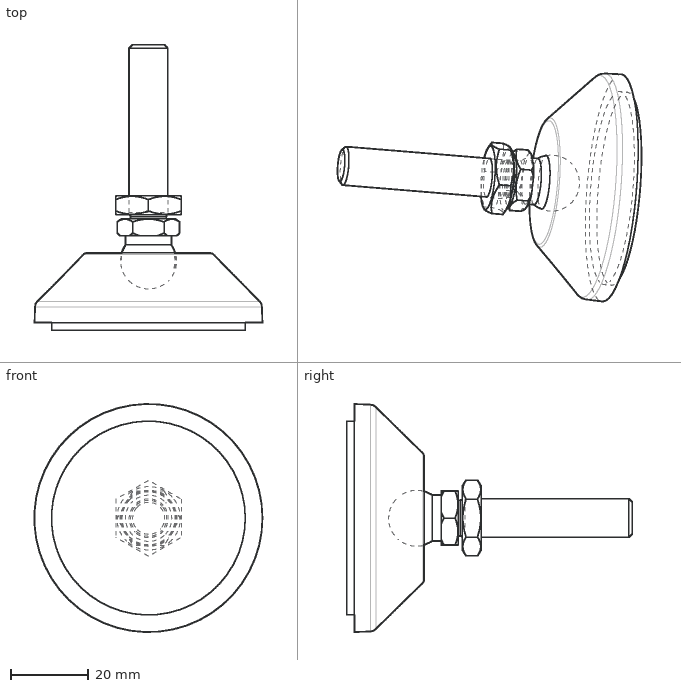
import cadquery as cq
import math


PAD_RADIUS = 25.05
PAD_HEIGHT = 2.0
RIM_RADIUS = 29.515
RIM_DRAFT = 0.185
CONE_START_Y = 6.95
FOOT_HEIGHT = 20.0
CONE_TOP_RADIUS = 16.5
RIM_FILLET = 2.0
TOP_FILLET = 1.0

OVERALL_LENGTH = 73.9
BALL_RADIUS = 7.25
NECK_RADIUS = 6.0
NECK_START_Y = 22.1
BALL_CENTER_Y = NECK_START_Y - math.sqrt(BALL_RADIUS**2 - NECK_RADIUS**2)
STUD_HEX_START_Y = 24.45
STUD_HEX_HEIGHT = 4.4
STUD_HEX_END_Y = STUD_HEX_START_Y + STUD_HEX_HEIGHT
STUD_HEX_FLATS = 14.05
STUD_HEX_LOWER_CHAMFER = 0.75
STUD_HEX_UPPER_CHAMFER_WIDTH = 1.25
STUD_HEX_UPPER_CHAMFER_HEIGHT = 0.8
UNDERCUT_RADIUS = 4.65
UNDERCUT_LENGTH = 0.5
ROD_RADIUS = 5.0
ROD_TAPER_LENGTH = 1.1
ROD_END_CHAMFER = 0.9

NUT_FLATS = 17.0
NUT_HEIGHT = 5.0
NUT_GAP = 0.95
NUT_START_Y = STUD_HEX_END_Y + NUT_GAP
NUT_FACE_RADIUS = 8.2
NUT_CHAMFER_HEIGHT = 1.0


def corner_radius(flats):
    """Distance from the center of a hexagon to its corners."""
    return flats / math.sqrt(3)


def turned(points):
    """Revolve a closed outline of (radius, Y) points around the Y axis."""
    return cq.Workplane("XY").polyline(points).close().revolve(360, (0, 0, 0), (0, 1, 0))


def chamfered_hexagon(flats, start_y, height, corner_angle, lower_chamfer, upper_chamfer):
    """Hexagonal prism along Y with turned corners; each chamfer is (radial, axial)."""
    radius = corner_radius(flats)
    prism = (
        cq.Workplane("XZ", origin=(0, start_y, 0))
        .transformed(rotate=(0, 0, corner_angle))
        .polygon(6, 2 * radius)
        .extrude(-height)
    )
    end_y = start_y + height
    envelope = turned([
        (0, start_y),
        (radius - lower_chamfer[0], start_y),
        (radius, start_y + lower_chamfer[1]),
        (radius, end_y - upper_chamfer[1]),
        (radius - upper_chamfer[0], end_y),
        (0, end_y),
    ])
    return prism.intersect(envelope)


def make_ball():
    return cq.Workplane("XY").sphere(BALL_RADIUS).translate((0, BALL_CENTER_Y, 0))


def make_foot():
    """Conical foot with a raised pad underneath and a socket for the ball."""
    cone = turned([
        (0, PAD_HEIGHT),
        (RIM_RADIUS, PAD_HEIGHT),
        (RIM_RADIUS - RIM_DRAFT, CONE_START_Y),
        (CONE_TOP_RADIUS, FOOT_HEIGHT),
        (0, FOOT_HEIGHT),
    ])
    top_edge = cq.selectors.RadiusNthSelector(0)
    cone_foot_edge = cq.selectors.RadiusNthSelector(1)
    cone = cone.edges(cone_foot_edge).fillet(RIM_FILLET)
    cone = cone.edges(top_edge).fillet(TOP_FILLET)
    pad = cq.Workplane("XZ").circle(PAD_RADIUS).extrude(-PAD_HEIGHT)
    return cone.union(pad).cut(make_ball())


def make_stud():
    """Ball, neck, wrench hexagon and rod in one piece."""
    undercut_end_y = STUD_HEX_END_Y + UNDERCUT_LENGTH
    shank = turned([
        (0, BALL_CENTER_Y),
        (NECK_RADIUS, BALL_CENTER_Y),
        (NECK_RADIUS, STUD_HEX_START_Y),
        (UNDERCUT_RADIUS, STUD_HEX_START_Y),
        (UNDERCUT_RADIUS, undercut_end_y),
        (ROD_RADIUS, undercut_end_y + ROD_TAPER_LENGTH),
        (ROD_RADIUS, OVERALL_LENGTH - ROD_END_CHAMFER),
        (ROD_RADIUS - ROD_END_CHAMFER, OVERALL_LENGTH),
        (0, OVERALL_LENGTH),
    ])
    hexagon = chamfered_hexagon(
        STUD_HEX_FLATS, STUD_HEX_START_Y, STUD_HEX_HEIGHT, 0,
        (STUD_HEX_LOWER_CHAMFER, STUD_HEX_LOWER_CHAMFER),
        (STUD_HEX_UPPER_CHAMFER_WIDTH, STUD_HEX_UPPER_CHAMFER_HEIGHT),
    )
    return make_ball().union(shank).union(hexagon)


def make_nut():
    """Hexagon nut, chamfered on both faces down to a circle just inside its flats."""
    chamfer = (corner_radius(NUT_FLATS) - NUT_FACE_RADIUS, NUT_CHAMFER_HEIGHT)
    blank = chamfered_hexagon(NUT_FLATS, NUT_START_Y, NUT_HEIGHT, 30, chamfer, chamfer)
    bore = (
        cq.Workplane("XZ", origin=(0, NUT_START_Y, 0))
        .circle(ROD_RADIUS)
        .extrude(-NUT_HEIGHT)
    )
    return blank.cut(bore)


foot = make_foot()
stud = make_stud()
nut = make_nut()

result = cq.Compound.makeCompound([foot.val(), stud.val(), nut.val()])